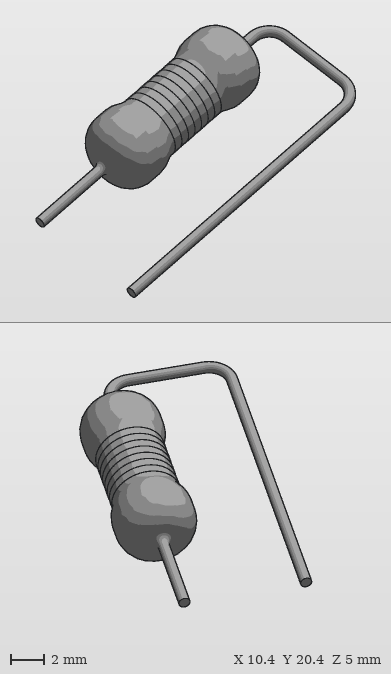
import cadquery as cq
import math

overall_length = 20.35
wire_diameter = 0.7
wire_radius = wire_diameter / 2
lead_pitch = 7.5
bend_radius = 1.42

body_start = 5.6
body_length = 12.0
body_end = body_start + body_length
body_middle = body_start + body_length / 2
bulge_radius = 5.0 / 2
waist_radius = 4.25 / 2
band_radius = 4.27 / 2
dome_radius = 1.69
bulge_straight = 0.81
cap_radius = bulge_radius - dome_radius
flare_radius = cap_radius - wire_radius

band_count = 4
waist_length = 4.03
band_width = waist_length / (2 * band_count - 1)
shoulder_length = (body_length - waist_length) / 2 - dome_radius - bulge_straight


def shoulder_positions(start, direction):
    """Y where the dome, the straight bulge and the shoulder end, going inward from an end face."""
    dome_end = start + direction * dome_radius
    bulge_end = dome_end + direction * bulge_straight
    return dome_end, bulge_end, bulge_end + direction * shoulder_length


def make_body():
    """Revolve the domed ends, S-curved shoulders and narrow waist as one profile."""
    diagonal = math.sqrt(0.5)
    dome_mid_radius = cap_radius + dome_radius * diagonal
    dome_mid_depth = dome_radius * (1 - diagonal)
    low_dome, low_bulge, low_waist = shoulder_positions(body_start, 1)
    high_dome, high_bulge, high_waist = shoulder_positions(body_end, -1)
    middle_radius = (bulge_radius + waist_radius) / 2
    profile = (
        cq.Workplane("XY")
        .moveTo(0, body_start)
        .lineTo(cap_radius, body_start)
        .threePointArc((dome_mid_radius, body_start + dome_mid_depth), (bulge_radius, low_dome))
        .lineTo(bulge_radius, low_bulge)
        .tangentArcPoint((middle_radius, (low_bulge + low_waist) / 2), relative=False)
        .tangentArcPoint((waist_radius, low_waist), relative=False)
        .lineTo(waist_radius, high_waist)
        .tangentArcPoint((middle_radius, (high_bulge + high_waist) / 2), relative=False)
        .tangentArcPoint((bulge_radius, high_bulge), relative=False)
        .lineTo(bulge_radius, high_dome)
        .threePointArc((dome_mid_radius, body_end - dome_mid_depth), (cap_radius, body_end))
        .lineTo(0, body_end)
        .close()
    )
    return profile.revolve(360, (0, 0, 0), (0, 1, 0))


def make_flare(face, direction):
    """Concave collar that blends an end face into the lead."""
    diagonal_inset = flare_radius * (1 - math.sqrt(0.5))
    tip = face + direction * flare_radius
    profile = (
        cq.Workplane("XY")
        .moveTo(0, face)
        .lineTo(cap_radius, face)
        .threePointArc(
            (wire_radius + diagonal_inset, face + direction * diagonal_inset),
            (wire_radius, tip),
        )
        .lineTo(0, tip)
        .close()
    )
    return profile.revolve(360, (0, 0, 0), (0, 1, 0))


def make_band(start):
    """Slightly raised colour band around the waist."""
    return cq.Workplane("XZ", origin=(0, start, 0)).circle(band_radius).extrude(-band_width)


def make_straight_lead():
    return cq.Workplane("XZ").circle(wire_radius).extrude(-body_middle)


def make_bent_lead():
    """Lead that leaves the top of the body and turns back through two right-angle bends."""
    top = overall_length - wire_radius
    bend_start = top - bend_radius
    diagonal_inset = bend_radius * (1 - math.sqrt(0.5))
    path = (
        cq.Workplane("XY")
        .moveTo(0, body_middle)
        .lineTo(0, bend_start)
        .threePointArc((diagonal_inset, top - diagonal_inset), (bend_radius, top))
        .lineTo(lead_pitch - bend_radius, top)
        .threePointArc((lead_pitch - diagonal_inset, top - diagonal_inset), (lead_pitch, bend_start))
        .lineTo(lead_pitch, 0)
    )
    section = cq.Workplane("XZ", origin=(0, body_middle, 0)).circle(wire_radius)
    return section.sweep(path)


result = make_body()

first_band = body_middle - waist_length / 2
for index in range(band_count):
    result = result.union(make_band(first_band + 2 * index * band_width))

result = result.union(make_flare(body_start, -1)).union(make_flare(body_end, 1))
result = result.union(make_straight_lead()).union(make_bent_lead())